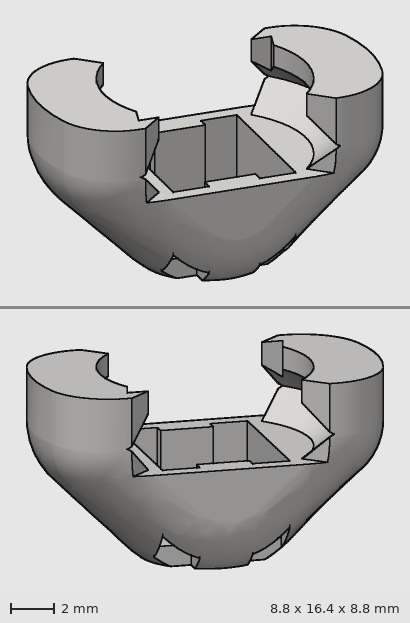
import cadquery as cq
import math

WIDTH = 8.8
LENGTH = 16.4
HEIGHT = 8.8

END_RADIUS = LENGTH / 2
CORNER_RADIUS = 3.0
HALF_WIDTH = WIDTH / 2
CORNER_X = HALF_WIDTH - CORNER_RADIUS
CORNER_Y = math.sqrt((END_RADIUS - CORNER_RADIUS) ** 2 - CORNER_X ** 2)

PAD_BOTTOM_Z = 6.25
ARM_ANGLE = 41.7
BELLY_RADIUS = 2.09
BELLY_SEAM = (3.45, 2.2)
BELLY_DEPTH = 3.52

FLOOR_Z = 5.04
SEAT_RADIUS = 5.0
GROOVE_DEPTH = 1.6
GROOVE_HALF_HEIGHT = 1.34
GRIP_HALF_ANGLE = 43.0
NOTCH_WIDTH = 1.0
NOTCH_RUN_OUT = 0.28

POCKET_LENGTH = 6.08
POCKET_WIDTH = 7.26
POCKET_FLOOR_Z = 1.0
RIB_SPACING = 6.16
RIB_LENGTH = 2.52
BASE_WIDTH = 4.26

MARGIN = 2.0


def section_outline(workplane, seam, depth):
    """Draw a body section: flat inner edge, corner arcs out to the seams, one arc across the middle."""
    seam_x, seam_y = seam
    inset = HALF_WIDTH - seam_x
    radius = (inset ** 2 + seam_y ** 2) / (2 * inset)
    half_turn = math.atan2(seam_y, radius - inset) / 2
    corner_x = HALF_WIDTH - radius + radius * math.cos(half_turn)
    corner_y = radius * math.sin(half_turn)
    return (
        workplane.moveTo(HALF_WIDTH, 0)
        .threePointArc((corner_x, corner_y), seam)
        .threePointArc((0, depth), (-seam_x, seam_y))
        .threePointArc((-corner_x, corner_y), (-HALF_WIDTH, 0))
        .close()
    )


def end_outline(workplane):
    """Draw the rounded end as it stands beyond the corner centres."""
    blend = math.atan2(CORNER_Y, CORNER_X)
    seam = (END_RADIUS * math.cos(blend), END_RADIUS * math.sin(blend) - CORNER_Y)
    return section_outline(workplane, seam, END_RADIUS - CORNER_Y)


def path_half():
    """Middle of the belly bend, and where it runs into the +Y arm, as (y, z)."""
    slope = math.radians(ARM_ANGLE)
    valley_z = PAD_BOTTOM_Z - CORNER_Y * math.tan(slope)
    center_z = valley_z + BELLY_RADIUS / math.cos(slope)
    belly_bottom = (0, center_z - BELLY_RADIUS)
    belly_end = (BELLY_RADIUS * math.sin(slope), center_z - BELLY_RADIUS * math.cos(slope))
    return belly_bottom, belly_end


def make_outer_half():
    """Rounded +Y half outside the path: upright pad, bend, and an arm that deepens into the belly."""
    belly_bottom, belly_end = path_half()
    slope = math.radians(ARM_ANGLE)
    bend_origin = (0, CORNER_Y, PAD_BOTTOM_Z)

    pad = end_outline(cq.Workplane("XY", origin=bend_origin)).extrude(HEIGHT - PAD_BOTTOM_Z)
    bend = end_outline(cq.Workplane("XY", origin=bend_origin)).revolve(90 - ARM_ANGLE, (0, 0), (-1, 0))

    arm_plane = cq.Plane(
        origin=bend_origin,
        xDir=(1, 0, 0),
        normal=(0, math.cos(slope), math.sin(slope)),
    )
    belly_plane = cq.Plane(origin=(0, *belly_bottom), xDir=(1, 0, 0), normal=(0, 1, 0))
    belly_mid = (
        BELLY_RADIUS * math.sin(slope / 2),
        belly_bottom[1] + BELLY_RADIUS * (1 - math.cos(slope / 2)),
    )
    path = (
        cq.Workplane("YZ")
        .moveTo(CORNER_Y, PAD_BOTTOM_Z)
        .lineTo(*belly_end)
        .threePointArc(belly_mid, belly_bottom)
    )
    arm_section = end_outline(cq.Workplane(arm_plane))
    belly_section = section_outline(cq.Workplane(belly_plane), BELLY_SEAM, BELLY_DEPTH)
    arm = arm_section.add(belly_section.wires()).toPending().sweep(path, multisection=True)
    return pad.union(bend).union(arm)


def make_core():
    """Flat-sided block filling the inside of the path."""
    belly_bottom, belly_end = path_half()
    return (
        cq.Workplane("YZ")
        .moveTo(CORNER_Y, HEIGHT)
        .lineTo(CORNER_Y, PAD_BOTTOM_Z)
        .lineTo(*belly_end)
        .threePointArc(belly_bottom, (-belly_end[0], belly_end[1]))
        .lineTo(-CORNER_Y, PAD_BOTTOM_Z)
        .lineTo(-CORNER_Y, HEIGHT)
        .close()
        .extrude(HALF_WIDTH, both=True)
    )


def make_body():
    """U-shaped body with its underside cut flat at Z = 0."""
    outer_half = make_outer_half()
    body = make_core().union(outer_half).union(outer_half.mirror("XZ"))
    keep = cq.Workplane("XY").box(WIDTH + MARGIN, LENGTH + MARGIN, HEIGHT, centered=(True, True, False))
    return body.intersect(keep)


def make_seat():
    """Round seat with a V groove in its wall, open above."""
    groove_z = FLOOR_Z + GROOVE_HALF_HEIGHT
    lip_z = groove_z + GROOVE_HALF_HEIGHT
    return (
        cq.Workplane("XZ")
        .moveTo(0, FLOOR_Z)
        .lineTo(SEAT_RADIUS, FLOOR_Z)
        .lineTo(SEAT_RADIUS + GROOVE_DEPTH, groove_z)
        .lineTo(SEAT_RADIUS, lip_z)
        .lineTo(SEAT_RADIUS, HEIGHT + MARGIN)
        .lineTo(0, HEIGHT + MARGIN)
        .close()
        .revolve(360, (0, 0), (0, 1))
    )


def make_side_openings():
    """Wedges that clear both sides of the seat, leaving a grip at each end."""
    reach_x = HALF_WIDTH + MARGIN
    reach_y = reach_x / math.tan(math.radians(GRIP_HALF_ANGLE))
    openings = cq.Workplane("XY")
    for side in (1, -1):
        wedge = (
            cq.Workplane("XY", origin=(0, 0, FLOOR_Z))
            .polyline([(0, 0), (side * reach_x, reach_y), (side * reach_x, -reach_y)])
            .close()
            .extrude(HEIGHT)
        )
        openings = openings.add(wedge)
    return openings.combine()


def make_lip_notches():
    """Small triangular notches down through diagonally opposite lip ends."""
    grip_angle = math.radians(GRIP_HALF_ANGLE)
    tip_x = -SEAT_RADIUS * math.sin(grip_angle)
    tip_y = SEAT_RADIUS * math.cos(grip_angle)
    back_y = tip_y + NOTCH_WIDTH
    far_x = tip_x + NOTCH_WIDTH
    notch = (
        cq.Workplane("XY", origin=(0, 0, FLOOR_Z + GROOVE_HALF_HEIGHT))
        .polyline([(tip_x, tip_y), (tip_x, back_y), (far_x, back_y - NOTCH_RUN_OUT)])
        .close()
        .extrude(HEIGHT)
    )
    return notch.union(notch.rotate((0, 0, 0), (0, 0, 1), 180))


def make_pocket():
    """Ribbed rectangular pocket with an opening through the base at each corner."""
    depth = HEIGHT - POCKET_FLOOR_Z
    pocket = (
        cq.Workplane("XY", origin=(0, 0, POCKET_FLOOR_Z))
        .rect(POCKET_WIDTH, POCKET_LENGTH)
        .extrude(depth)
    )
    rib_depth = (POCKET_WIDTH - RIB_SPACING) / 2
    ribs = (
        cq.Workplane("XY", origin=(0, 0, POCKET_FLOOR_Z))
        .pushPoints([(side * (RIB_SPACING + rib_depth) / 2, 0) for side in (1, -1)])
        .rect(rib_depth, RIB_LENGTH)
        .extrude(depth)
    )
    opening_width = (POCKET_WIDTH - BASE_WIDTH) / 2
    opening_length = (POCKET_LENGTH - RIB_LENGTH) / 2
    openings = (
        cq.Workplane("XY", origin=(0, 0, -MARGIN))
        .rect(BASE_WIDTH + opening_width, RIB_LENGTH + opening_length, forConstruction=True)
        .vertices()
        .rect(opening_width, opening_length)
        .extrude(HEIGHT)
    )
    return pocket.cut(ribs).union(openings)


result = (
    make_body()
    .cut(make_seat())
    .cut(make_side_openings())
    .cut(make_lip_notches())
    .cut(make_pocket())
)